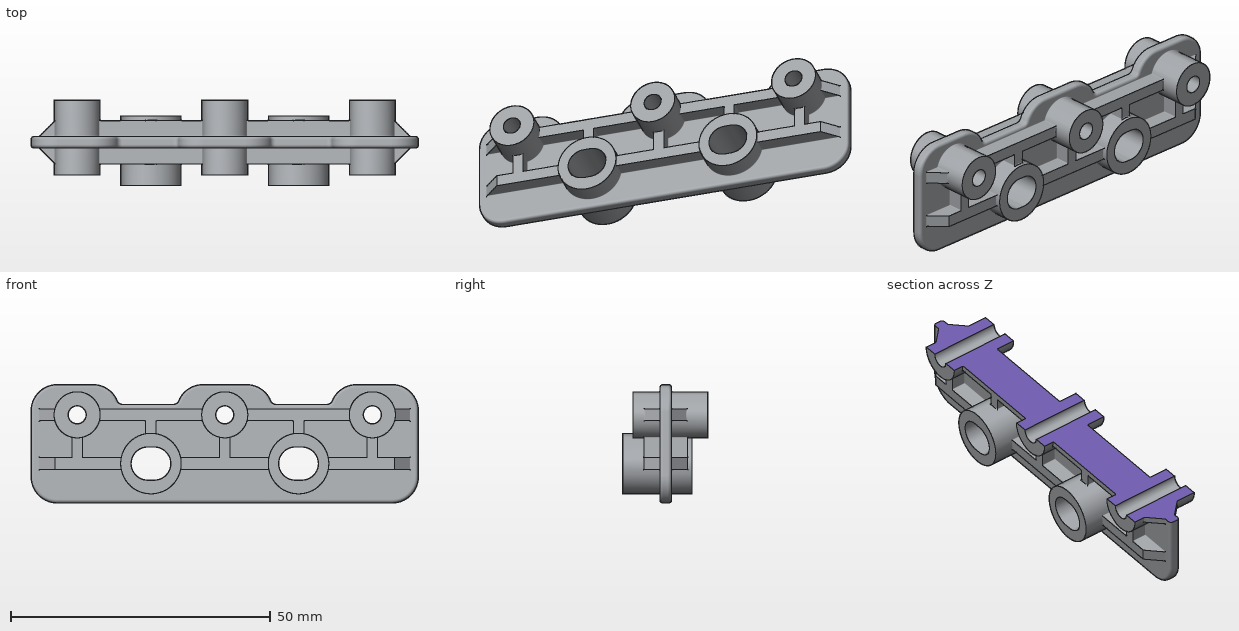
import cadquery as cq
import math

plate_length = 74.68
plate_height = 22.86
plate_thickness = 2.286
corner_radius = 5.08
edge_round = 0.635

notch_depth = 3.81
notch_root_radius = 1.016
middle_lobe_half_flat = 4.19
outer_lobe_inner_end = 25.4

boss_drop = 5.84
boss_pitch = 28.45
small_boss_diameter = 8.89
small_boss_front = 6.35
small_boss_back = 8.13
small_hole_diameter = 3.43
large_boss_drop = 15.24
large_boss_diameter = 11.68
large_boss_front = 8.33
large_boss_back = 5.08
slot_length = 7.62
slot_height = 6.35

rib_half_depth = 4.19
long_rib_width = 2.286
cross_rib_width = 2.03
rib_end_inset = 1.6

corner_fillet = 0.127
contact_gap = 0.001

half_length = plate_length / 2
half_thickness = plate_thickness / 2
top_z = plate_height / 2
bottom_z = -top_z
notch_z = top_z - notch_depth
small_boss_z = top_z - boss_drop
large_boss_z = top_z - large_boss_drop
small_boss_xs = [-boss_pitch, 0, boss_pitch]
large_boss_xs = [-boss_pitch / 2, boss_pitch / 2]


def xz_plane(y):
    """Workplane at the given Y, with X right, Z up and its normal toward -Y."""
    return cq.Workplane("XZ", origin=(0, y, 0))


def lobe_flank_points(flat_end_x, side):
    """Ends and midpoints of the convex arc and the concave arc tangent to it."""
    lobe_z = top_z - corner_radius
    root_z = notch_z + notch_root_radius
    rise = root_z - lobe_z
    root_offset = math.sqrt((corner_radius + notch_root_radius) ** 2 - rise**2)
    turn = math.atan2(root_offset, rise)

    def on_lobe(angle):
        x = flat_end_x + side * corner_radius * math.sin(angle)
        return (x, lobe_z + corner_radius * math.cos(angle))

    def on_root(angle):
        x = flat_end_x + side * (root_offset - notch_root_radius * math.sin(angle))
        return (x, root_z - notch_root_radius * math.cos(angle))

    return [on_lobe(0), on_lobe(turn / 2), on_lobe(turn), on_root(turn / 2), on_root(0)]


def descend_lobe_flank(outline, flat_end_x, side):
    """Run down a lobe from its flat top into the notch on that side (+1 right, -1 left)."""
    points = lobe_flank_points(flat_end_x, side)
    return outline.threePointArc(points[1], points[2]).threePointArc(points[3], points[4])


def climb_lobe_flank(outline, flat_end_x, side):
    """Run up from the notch to a lobe's flat top."""
    points = lobe_flank_points(flat_end_x, side)
    return outline.threePointArc(points[3], points[2]).threePointArc(points[1], points[0])


def make_plate():
    """Round-cornered plate with two notches in its top edge and all edges rounded."""
    arc_inset = corner_radius * (1 - math.sqrt(0.5))
    side_x = half_length - corner_radius
    upper_z = top_z - corner_radius
    lower_z = bottom_z + corner_radius
    notch_outer_x = lobe_flank_points(outer_lobe_inner_end, -1)[-1][0]
    notch_inner_x = lobe_flank_points(middle_lobe_half_flat, 1)[-1][0]

    outline = xz_plane(half_thickness).moveTo(-half_length, lower_z).lineTo(-half_length, upper_z)
    outline = outline.threePointArc((-half_length + arc_inset, top_z - arc_inset), (-side_x, top_z))
    outline = outline.lineTo(-outer_lobe_inner_end, top_z)
    outline = descend_lobe_flank(outline, -outer_lobe_inner_end, 1)
    outline = outline.lineTo(-notch_inner_x, notch_z)
    outline = climb_lobe_flank(outline, -middle_lobe_half_flat, -1)
    outline = outline.lineTo(middle_lobe_half_flat, top_z)
    outline = descend_lobe_flank(outline, middle_lobe_half_flat, 1)
    outline = outline.lineTo(notch_outer_x, notch_z)
    outline = climb_lobe_flank(outline, outer_lobe_inner_end, -1)
    outline = outline.lineTo(side_x, top_z)
    outline = outline.threePointArc((half_length - arc_inset, top_z - arc_inset), (half_length, upper_z))
    outline = outline.lineTo(half_length, lower_z)
    outline = outline.threePointArc((half_length - arc_inset, bottom_z + arc_inset), (side_x, bottom_z))
    outline = outline.lineTo(-side_x, bottom_z)
    outline = outline.threePointArc((-half_length + arc_inset, bottom_z + arc_inset), (-half_length, lower_z))
    return outline.close().extrude(plate_thickness).faces("<Y or >Y").edges().fillet(edge_round)


def make_long_rib(z):
    """Full-length rib through the plate, with ends sloping at 45 degrees on both faces."""
    foot_x = half_length - rib_end_inset
    shoulder_x = foot_x - (rib_half_depth - half_thickness)
    profile = [
        (-foot_x, -half_thickness),
        (-shoulder_x, -rib_half_depth),
        (shoulder_x, -rib_half_depth),
        (foot_x, -half_thickness),
        (foot_x, half_thickness),
        (shoulder_x, rib_half_depth),
        (-shoulder_x, rib_half_depth),
        (-foot_x, half_thickness),
    ]
    plane = cq.Workplane("XY", origin=(0, 0, z - long_rib_width / 2))
    return plane.polyline(profile).close().extrude(long_rib_width)


def make_cross_ribs():
    """Short vertical ribs joining the two long ribs at every boss."""
    span = small_boss_z - large_boss_z
    centers = [(x, (small_boss_z + large_boss_z) / 2) for x in small_boss_xs + large_boss_xs]
    plane = xz_plane(rib_half_depth).pushPoints(centers)
    return plane.rect(cross_rib_width, span).extrude(2 * rib_half_depth)


def make_bosses(xs, z, diameter, front, back):
    """Row of round bosses reaching out of both faces of the plate."""
    plane = xz_plane(back).pushPoints([(x, z) for x in xs])
    return plane.circle(diameter / 2).extrude(front + back)


def make_small_holes():
    """Round through holes for the small bosses."""
    plane = xz_plane(small_boss_back).pushPoints([(x, small_boss_z) for x in small_boss_xs])
    return plane.circle(small_hole_diameter / 2).extrude(small_boss_front + small_boss_back)


def make_slots():
    """Slightly elongated through holes for the large bosses."""
    plane = xz_plane(large_boss_back).pushPoints([(x, large_boss_z) for x in large_boss_xs])
    return plane.slot2D(slot_length, slot_height).extrude(large_boss_front + large_boss_back)


def surfaces_meet(edge, surfaces):
    """True if the middle of the edge lies on two or more members' surfaces (lists of shells)."""
    middle = cq.Vertex.makeVertex(*edge.positionAt(0.5).toTuple())
    touched = 0
    for shells in surfaces:
        if any(shell.distance(middle) < contact_gap for shell in shells):
            touched += 1
    return touched > 1


def join_with_fillets(members):
    """Fuse the members into one body and fillet every inner corner where they meet."""
    body = members[0]
    for member in members[1:]:
        body = body.union(member)
    surfaces = [member.shells().vals() for member in members]
    corners = [edge for edge in body.edges().vals() if surfaces_meet(edge, surfaces)]
    return body.newObject(corners).fillet(corner_fillet)


small_bosses = make_bosses(
    small_boss_xs, small_boss_z, small_boss_diameter, small_boss_front, small_boss_back
)
large_bosses = make_bosses(
    large_boss_xs, large_boss_z, large_boss_diameter, large_boss_front, large_boss_back
)
long_ribs = [make_long_rib(z) for z in (small_boss_z, large_boss_z)]

body = join_with_fillets([make_plate(), *long_ribs, make_cross_ribs(), small_bosses, large_bosses])
result = body.cut(make_small_holes()).cut(make_slots())